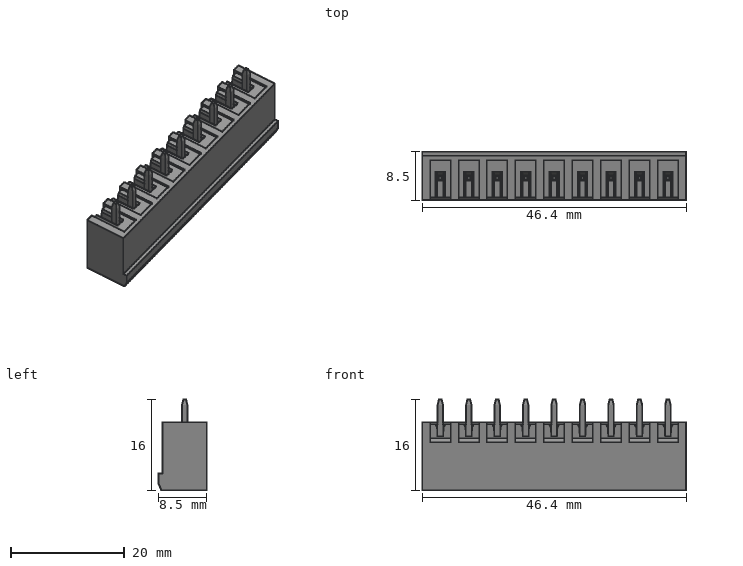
import cadquery as cq

PIN_COUNT = 9
PITCH = 5.0
END_MARGIN = 3.2

LENGTH = (PIN_COUNT - 1) * PITCH + 2 * END_MARGIN
HEIGHT = 12.0
BODY_DEPTH = 7.8
LEDGE_DEPTH = 0.7
LEDGE_HEIGHT = 3.0
LEDGE_BEVEL_DEPTH = 0.5
LEDGE_BEVEL_HEIGHT = 1.2

PIN_WIDTH = 1.0
PIN_AXIS_Y = 3.88
PIN_TOP = 16.0
PIN_TIP_LENGTH = 1.0
PIN_TIP_WIDTH = 0.5

RECESS_WIDTH = 3.6
RECESS_BACK_Y = 7.0
RECESS_DEPTH = 0.4
RECESS_FLOOR_Z = HEIGHT - RECESS_DEPTH

NOTCH_DEPTH = 0.45
SILL_INNER_DROP = 2.8
SILL_OUTER_DROP = 3.5
SILL_INNER_Z = HEIGHT - SILL_INNER_DROP
SILL_OUTER_Z = HEIGHT - SILL_OUTER_DROP

SLOT_DEPTH = 2.5
SLOT_FLOOR_Z = HEIGHT - SLOT_DEPTH
SLOT_FLOOR_HALF_WIDTH = PIN_WIDTH / 2
SLOT_THROAT_HALF_WIDTH = 0.6
SLOT_MOUTH_HALF_WIDTH = 0.86
SLOT_FLARE_HEIGHT = 0.5
SLOT_THROAT_Z = RECESS_FLOOR_Z - SLOT_FLARE_HEIGHT
SLOT_FLOOR_BACK_Y = PIN_AXIS_Y + PIN_WIDTH / 2
SLOT_MOUTH_BACK_Y = 4.95


def make_housing():
    """Long block with a bevelled ledge along the bottom of its back face."""
    ledge_y = BODY_DEPTH + LEDGE_DEPTH
    profile = [
        (0, 0),
        (ledge_y - LEDGE_BEVEL_DEPTH, 0),
        (ledge_y, LEDGE_BEVEL_HEIGHT),
        (ledge_y, LEDGE_HEIGHT),
        (BODY_DEPTH, LEDGE_HEIGHT),
        (BODY_DEPTH, HEIGHT),
        (0, HEIGHT),
    ]
    return cq.Workplane("YZ").polyline(profile).close().extrude(LENGTH / 2, both=True)


def make_recess():
    """Shallow top recess together with the front notch and its sloped sill."""
    profile = [
        (0, SILL_OUTER_Z),
        (NOTCH_DEPTH, SILL_INNER_Z),
        (NOTCH_DEPTH, RECESS_FLOOR_Z),
        (RECESS_BACK_Y, RECESS_FLOOR_Z),
        (RECESS_BACK_Y, HEIGHT),
        (0, HEIGHT),
    ]
    return cq.Workplane("YZ").polyline(profile).close().extrude(RECESS_WIDTH / 2, both=True)


def make_slot():
    """Slot with tapered, flared side walls and one plane sloping back as its rear wall."""
    cross_section = [
        (-SLOT_FLOOR_HALF_WIDTH, SLOT_FLOOR_Z),
        (SLOT_FLOOR_HALF_WIDTH, SLOT_FLOOR_Z),
        (SLOT_THROAT_HALF_WIDTH, SLOT_THROAT_Z),
        (SLOT_MOUTH_HALF_WIDTH, RECESS_FLOOR_Z),
        (-SLOT_MOUTH_HALF_WIDTH, RECESS_FLOOR_Z),
        (-SLOT_THROAT_HALF_WIDTH, SLOT_THROAT_Z),
    ]
    side_profile = [
        (0, SLOT_FLOOR_Z),
        (SLOT_FLOOR_BACK_Y, SLOT_FLOOR_Z),
        (SLOT_MOUTH_BACK_Y, RECESS_FLOOR_Z),
        (0, RECESS_FLOOR_Z),
    ]
    channel = cq.Workplane("XZ").polyline(cross_section).close().extrude(-SLOT_MOUTH_BACK_Y)
    envelope = cq.Workplane("YZ").polyline(side_profile).close().extrude(RECESS_WIDTH / 2, both=True)
    return channel.intersect(envelope)


def make_pin():
    """Square pin standing on the slot floor, with a tapered tip."""
    shank_top = PIN_TOP - PIN_TIP_LENGTH
    shank = (
        cq.Workplane("XY", origin=(0, PIN_AXIS_Y, SLOT_FLOOR_Z))
        .rect(PIN_WIDTH, PIN_WIDTH)
        .extrude(shank_top - SLOT_FLOOR_Z)
    )
    tip = (
        cq.Workplane("XY", origin=(0, PIN_AXIS_Y, shank_top))
        .rect(PIN_WIDTH, PIN_WIDTH)
        .workplane(offset=PIN_TIP_LENGTH)
        .rect(PIN_TIP_WIDTH, PIN_TIP_WIDTH)
        .loft(ruled=True)
    )
    return shank.union(tip)


cavity = make_recess().union(make_slot())
pin = make_pin()

result = make_housing()
for index in range(PIN_COUNT):
    offset = ((index - (PIN_COUNT - 1) / 2) * PITCH, 0, 0)
    result = result.cut(cavity.translate(offset))
    result = result.union(pin.translate(offset))